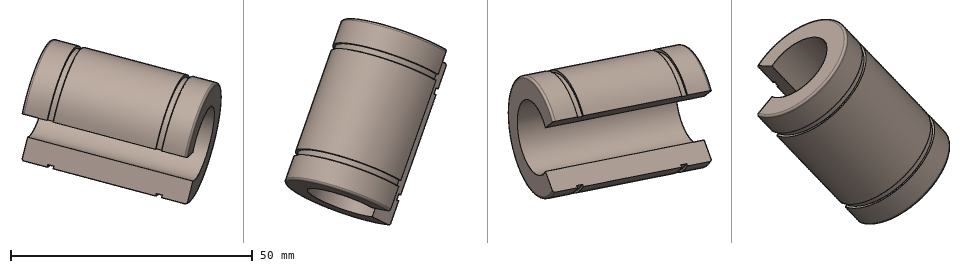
import cadquery as cq
import math

length = 36.0
outer_diameter = 26.0
bore_diameter = 16.0
mouth_angle = 78.0
edge_round = 0.5

groove_diameter = 24.9
groove_width = 1.3
groove_span = 24.9


def cylinder(diameter, start, width):
    """Solid cylinder along X, beginning at the given X."""
    return cq.Workplane("YZ", origin=(start, 0, 0)).circle(diameter / 2).extrude(width)


sleeve = cylinder(outer_diameter, -length / 2, length).edges("%CIRCLE").fillet(edge_round)
sleeve = sleeve.cut(cylinder(bore_diameter, -length / 2, length))

groove_center = (groove_span - groove_width) / 2
for center in (-groove_center, groove_center):
    start = center - groove_width / 2
    ring = cylinder(outer_diameter, start, groove_width).cut(
        cylinder(groove_diameter, start, groove_width)
    )
    sleeve = sleeve.cut(ring)

wedge_depth = outer_diameter
wedge_half_height = wedge_depth * math.tan(math.radians(mouth_angle / 2))
mouth = (
    cq.Workplane("YZ", origin=(-length / 2, 0, 0))
    .moveTo(0, 0)
    .lineTo(-wedge_depth, wedge_half_height)
    .lineTo(-wedge_depth, -wedge_half_height)
    .close()
    .extrude(length)
)

result = sleeve.cut(mouth)